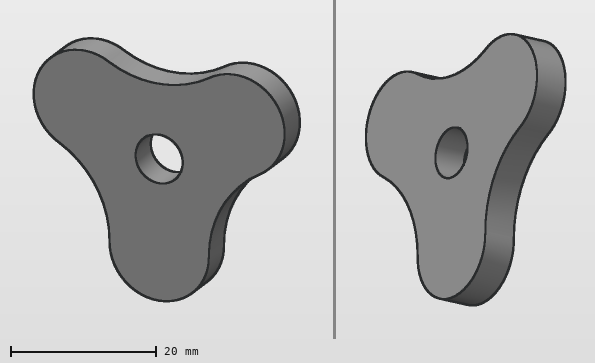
import cadquery as cq
import math

overall_width = 37.98
thickness = 5.0
lobe_radius = 7.52
waist_distance = 11.0
hole_diameter = 7.1
lobe_count = 3
lobe_half_sweep = 91.9

lobe_step = 360.0 / lobe_count
first_lobe_angle = -90.0
upper_lobe_angle = first_lobe_angle + lobe_step
lobe_distance = (overall_width / 2 - lobe_radius) / math.cos(math.radians(upper_lobe_angle))


def polar(distance, angle, center=(0.0, 0.0)):
    """Point at a distance and an angle in degrees from a centre."""
    turn = math.radians(angle)
    return (center[0] + distance * math.cos(turn), center[1] + distance * math.sin(turn))


def lobe_point(lobe_angle, sweep):
    """Point on a lobe's rim, swept in degrees from its outermost tip."""
    lobe_center = polar(lobe_distance, lobe_angle)
    return polar(lobe_radius, lobe_angle + sweep, lobe_center)


def knob_outline():
    """Closed outline of round lobes joined by smooth hollows."""
    outline = cq.Workplane("XZ").moveTo(*lobe_point(first_lobe_angle, -lobe_half_sweep))
    for index in range(lobe_count):
        lobe_angle = first_lobe_angle + index * lobe_step
        next_lobe_angle = lobe_angle + lobe_step
        waist = polar(waist_distance, lobe_angle + lobe_step / 2)
        outline = outline.threePointArc(lobe_point(lobe_angle, 0), lobe_point(lobe_angle, lobe_half_sweep))
        outline = outline.threePointArc(waist, lobe_point(next_lobe_angle, -lobe_half_sweep))
    return outline.close()


plate = knob_outline().extrude(thickness / 2, both=True)
result = plate.faces("<Y").workplane(origin=(0, 0, 0)).hole(hole_diameter)